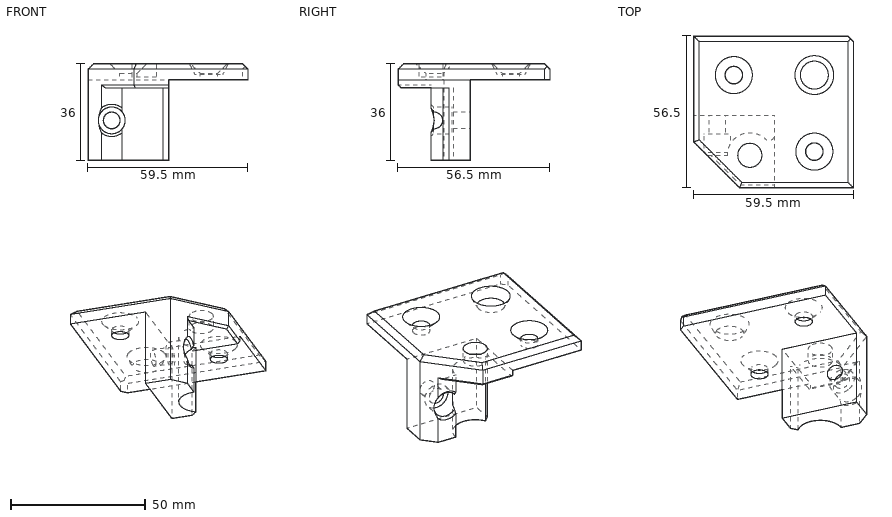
import cadquery as cq
import math

length = 59.5
width = 56.5
height = 36.0
plate_thickness = 6.0
corner_cut = 17.1
edge_chamfer = 2.0

block_length = 30.05
block_back = 26.9
pad_bottom = 27.0
pad_chamfer = 1.0
post_front = 12.15

socket_x = 20.9
socket_diameter = 9.0
socket_depth = 5.0
groove_radius = 8.4
groove_end_x = 27.9

screw_diameter = 6.4
countersink_diameter = 13.8
countersink_angle = 90
near_x, far_x = 14.95, 44.9
near_y, far_y = 13.5, 42.0

recess_top_diameter = 14.45
recess_floor_diameter = 10.4
recess_depth = 4.0

bolt_x = 8.75
bolt_z = 14.9
bolt_diameter = 6.1
counterbore_diameter = 10.0
counterbore_depth = 8.0
counterbore_chamfer = 1.0


def cut_corner_outline(x_size, y_size):
    """Rectangle at the origin with its front left corner cut at 45 degrees."""
    return cq.Workplane("XY").polyline(
        [(corner_cut, 0), (x_size, 0), (x_size, y_size), (0, y_size), (0, corner_cut)]
    ).close()


def make_plate():
    plate = cut_corner_outline(length, width).extrude(plate_thickness)
    plate = plate.faces(">Z").chamfer(edge_chamfer)
    corner_trim = (
        cq.Workplane("XY")
        .polyline([(length, width), (length - edge_chamfer, width), (length, width - edge_chamfer)])
        .close()
        .extrude(plate_thickness)
    )
    return plate.cut(corner_trim).translate((0, 0, height - plate_thickness))


def make_pad():
    pad_height = height - edge_chamfer - pad_bottom
    pad = cut_corner_outline(block_length, block_back).extrude(pad_height)
    front_and_slanted_edges = "<Y or <(1, 1, 0)"
    pad = pad.faces("<Z").edges(front_and_slanted_edges).chamfer(pad_chamfer)
    return pad.translate((0, 0, pad_bottom))


def make_post():
    groove_end_y = post_front + math.sqrt(groove_radius**2 - (groove_end_x - socket_x) ** 2)
    side_start_y = groove_end_y + block_length - groove_end_x
    return (
        cq.Workplane("XY")
        .moveTo(corner_cut - post_front, post_front)
        .lineTo(socket_x - groove_radius, post_front)
        .threePointArc((socket_x, post_front + groove_radius), (groove_end_x, groove_end_y))
        .lineTo(block_length, side_start_y)
        .lineTo(block_length, block_back)
        .lineTo(0, block_back)
        .lineTo(0, corner_cut)
        .close()
        .extrude(height - plate_thickness)
    )


def cone(base, direction, base_diameter, end_diameter, depth):
    base_radius = base_diameter / 2
    end_radius = end_diameter / 2
    return cq.Workplane(
        cq.Solid.makeCone(base_radius, end_radius, depth, cq.Vector(*base), cq.Vector(*direction))
    )


def bolt_cylinder(diameter, y_start, y_end):
    return cq.Workplane(
        cq.Solid.makeCylinder(
            diameter / 2, y_end - y_start, cq.Vector(bolt_x, y_start, bolt_z), cq.Vector(0, 1, 0)
        )
    )


def cut_top_holes(body):
    body = (
        body.faces(">Z")
        .workplane(origin=(0, 0, height))
        .pushPoints([(near_x, far_y), (far_x, near_y)])
        .cskHole(screw_diameter, countersink_diameter, countersink_angle)
    )
    body = (
        body.faces(">Z")
        .workplane(origin=(0, 0, height))
        .pushPoints([(socket_x, post_front)])
        .hole(socket_diameter, socket_depth)
    )
    recess_top = (far_x, far_y, height)
    return body.cut(cone(recess_top, (0, 0, -1), recess_top_diameter, recess_floor_diameter, recess_depth))


def cut_bolt_hole(body):
    body = body.cut(bolt_cylinder(bolt_diameter, 0, block_back))
    body = body.cut(bolt_cylinder(counterbore_diameter, 0, post_front + counterbore_depth))
    mouth = (bolt_x, post_front, bolt_z)
    mouth_diameter = counterbore_diameter + 2 * counterbore_chamfer
    return body.cut(cone(mouth, (0, 1, 0), mouth_diameter, counterbore_diameter, counterbore_chamfer))


result = make_plate().union(make_pad()).union(make_post())
result = cut_top_holes(result)
result = cut_bolt_hole(result)